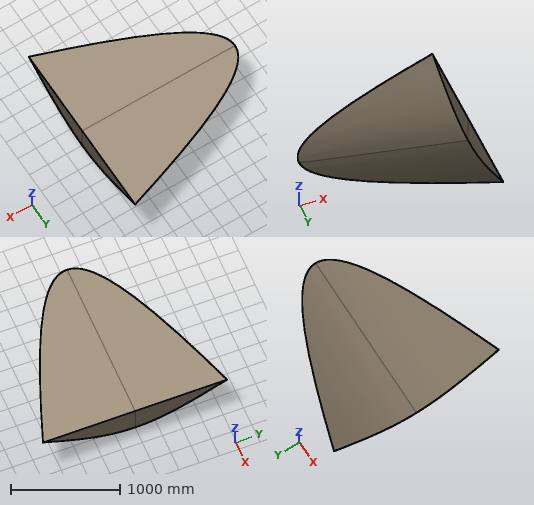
import cadquery as cq

LENGTH = 1656.42
HALF_SPAN = 910.0
DEPTH = 281.1

NOSE_CONTROL_Y = 281.0
LEADING_TIP_CONTROL = (636.0, 563.0)

KEEL_CONTROL_Y = 315.0
BASE_TIP_CONTROL = (591.0, -147.0)

nose = cq.Vector(0, 0, 0)
centre = cq.Vector(LENGTH, 0, 0)
tip = cq.Vector(LENGTH, HALF_SPAN, 0)
keel = cq.Vector(LENGTH, 0, -DEPTH)


def half_body():
    """Solid on the +Y side of the centre plane, bounded by four faces."""
    leading_edge = cq.Edge.makeBezier(
        [
            nose,
            cq.Vector(0, NOSE_CONTROL_Y, 0),
            cq.Vector(*LEADING_TIP_CONTROL, 0),
            tip,
        ]
    )
    base_edge = cq.Edge.makeBezier(
        [
            keel,
            cq.Vector(LENGTH, KEEL_CONTROL_Y, -DEPTH),
            cq.Vector(LENGTH, *BASE_TIP_CONTROL),
            tip,
        ]
    )
    top_line = cq.Edge.makeLine(centre, nose)
    keel_line = cq.Edge.makeLine(nose, keel)
    base_line = cq.Edge.makeLine(keel, centre)
    base_top = cq.Edge.makeLine(tip, centre)

    top = cq.Face.makeFromWires(cq.Wire.assembleEdges([leading_edge, base_top, top_line]))
    base = cq.Face.makeFromWires(cq.Wire.assembleEdges([base_edge, base_top, base_line]))
    middle = cq.Face.makeFromWires(cq.Wire.assembleEdges([top_line, keel_line, base_line]))
    lower = cq.Face.makeRuledSurface(leading_edge, base_edge)
    return cq.Solid.makeSolid(cq.Shell.makeShell([top, base, middle, lower]))


half = cq.Workplane(obj=half_body())
result = half.union(half.mirror("XZ"), clean=False)